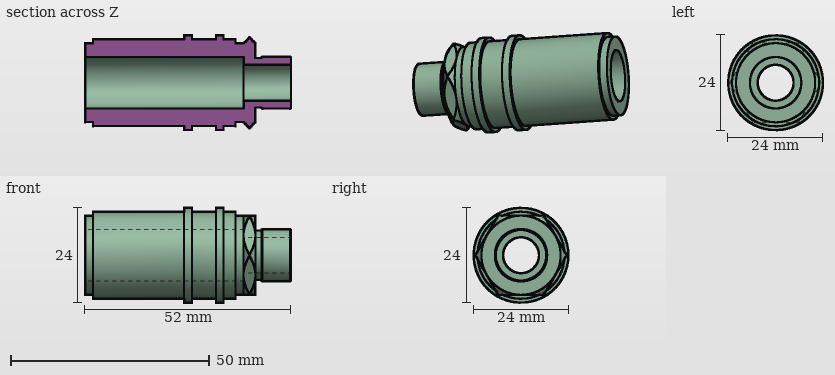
import cadquery as cq
import math

SHOULDER_X = 2.0
RING_WIDTH = 2.0
RING_STARTS = (25.0, 33.0)
SLEEVE_END = 38.0
HEX_START = 40.0
HEX_END = 43.0
NECK_END = 44.5
TOTAL_LENGTH = 52.0

COLLAR_RADIUS = 10.0
SLEEVE_RADIUS = 11.0
RING_RADIUS = 12.0
HEX_ACROSS_FLATS = 20.0
NECK_RADIUS = 6.3
SPIGOT_RADIUS = 6.625
SPIGOT_CHAMFER = 0.25

HEX_BEVEL_ANGLE = 45.0
HEX_FACE_RADIUS = HEX_ACROSS_FLATS / 2

SOCKET_RADIUS = 6.5
SOCKET_DEPTH = HEX_START
BORE_RADIUS = 4.5


def cylinder(start, end, radius):
    """Solid cylinder on the X axis between two stations."""
    return cq.Workplane("YZ").workplane(offset=start).circle(radius).extrude(end - start)


def make_hexagon():
    """Hexagon with flats facing +Z and -Z, its corners bevelled on both faces."""
    width = HEX_END - HEX_START
    corner_radius = HEX_ACROSS_FLATS / (2 * math.cos(math.radians(30)))
    prism = (
        cq.Workplane("YZ")
        .workplane(offset=HEX_START)
        .polygon(6, 2 * corner_radius)
        .extrude(width)
    )
    middle = HEX_START + width / 2
    bevel_peak = HEX_FACE_RADIUS + math.tan(math.radians(HEX_BEVEL_ANGLE)) * width / 2
    double_cone = (
        cq.Workplane("XY")
        .moveTo(HEX_START, 0)
        .lineTo(HEX_START, HEX_FACE_RADIUS)
        .lineTo(middle, bevel_peak)
        .lineTo(HEX_END, HEX_FACE_RADIUS)
        .lineTo(HEX_END, 0)
        .close()
        .revolve(360, (0, 0, 0), (1, 0, 0))
    )
    return prism.intersect(double_cone)


def make_spigot():
    """End spigot behind the neck, chamfered at both ends."""
    return cylinder(NECK_END, TOTAL_LENGTH, SPIGOT_RADIUS).edges().chamfer(SPIGOT_CHAMFER)


body = cylinder(0, HEX_START, COLLAR_RADIUS)
body = body.union(cylinder(SHOULDER_X, SLEEVE_END, SLEEVE_RADIUS))
for ring_start in RING_STARTS:
    body = body.union(cylinder(ring_start, ring_start + RING_WIDTH, RING_RADIUS))
body = body.union(make_hexagon())
body = body.union(cylinder(HEX_END, NECK_END, NECK_RADIUS))
body = body.union(make_spigot())

body = body.cut(cylinder(0, SOCKET_DEPTH, SOCKET_RADIUS))
result = body.cut(cylinder(0, TOTAL_LENGTH, BORE_RADIUS))